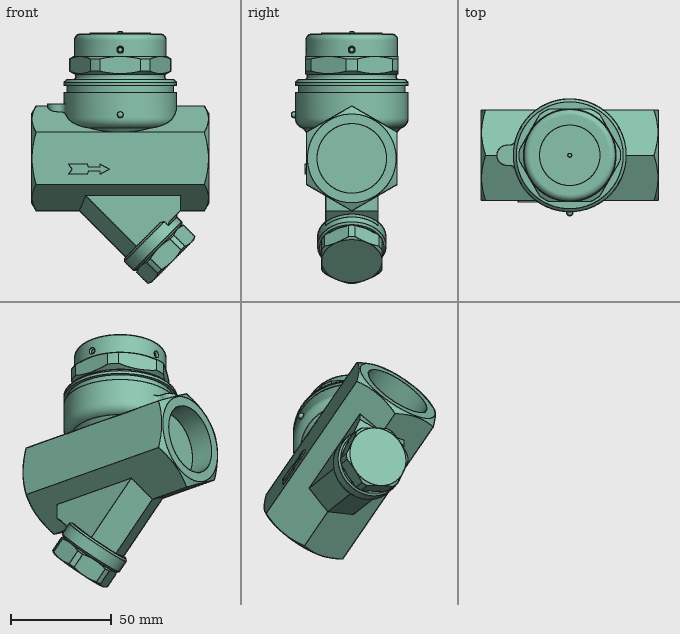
import cadquery as cq
import math

BODY_LENGTH = 88.0
BODY_FLATS = 45.0
BODY_END_DIAMETER = 44.0
SOCKET_DIAMETER = 34.5
SOCKET_DEPTH = 12.0
CHAMFER_ANGLE = math.radians(30)
BODY_CORNER_RADIUS = BODY_FLATS / math.sqrt(3)

HOUSING_DIAMETER = 56.0
HOUSING_TOP = 32.8
HOUSING_ROUNDING = 5.0
HOUSING_ROUNDING_START = 19.9
HOUSING_SKIRT_RADIUS = 24.4
HOUSING_BOTTOM_RADIUS = 22.5
HOUSING_BOTTOM = 13.0
ARC_MIDDLE_ANGLE = math.radians(45)

LUG_TOP = 27.0
LUG_BOTTOM = HOUSING_ROUNDING_START
LUG_WIDTH = 10.0
LUG_REACH = 36.1
LUG_ROOT_FILLET = 3.0

PIN_DIAMETER = 3.0
PIN_TIP_REACH = 30.0
PIN_ROUNDING = 1.3
PIN_HEIGHT = 21.6

ARROW_TAIL_X = -25.6
ARROW_HEAD_X = -10.0
ARROW_TIP_X = -5.4
ARROW_SHAFT_X = -15.8
ARROW_NOTCH = 1.8
ARROW_SHOULDER = 0.5
ARROW_HALF_WIDTH = 2.5
ARROW_SHAFT_HALF_WIDTH = 1.0
ARROW_CENTER_Z = -5.4
ARROW_RAISE = 0.8

BRANCH_AXIS_X = -25.0
BRANCH_TILT = 135
BRANCH_FLATS = 26.0
BRANCH_SHOULDER_X = 29.8
COLLAR_DIAMETER = 34.0
COLLAR_START = 54.3
COLLAR_LENGTH = 8.3
COLLAR_CHAMFER = 1.0
PLUG_FLATS = 30.0
PLUG_CORNER_DIAMETER = 33.0
PLUG_LENGTH = 9.5

CAP_SPIGOT_DIAMETER = 53.0
FLANGE_BOTTOM = 36.1
FLANGE_TOP = 39.1
FLANGE_CHAMFER = 1.5
NECK_DIAMETER = 44.3
NECK_FILLET = 1.3
NUT_BOTTOM = 41.5
NUT_TOP = 50.5
NUT_FLATS = 46.0
NUT_CORNER_DIAMETER = 50.3
CAP_DIAMETER = 45.5
CAP_TOP = 61.6
CAP_ROUNDING = 3.0
PLATE_DIAMETER = 30.0
PLATE_THICKNESS = 0.5
RIVET_DIAMETER = 2.0
RIVET_TOP = 63.0
RIVET_ROUNDING = 0.5
DIMPLE_DIAMETER = 3.5
DIMPLE_FLOOR_DIAMETER = 2.3
DIMPLE_DEPTH = 1.0
DIMPLE_HEIGHT = 53.9
DIMPLE_COUNT = 4


def hexagon_corners(flats):
    """Diameter through the corners of a hexagon with the given width across flats."""
    return flats * 2 / math.sqrt(3)


def turned(outline):
    """Solid of revolution about Z from a closed outline of (radius, height) points."""
    return cq.Workplane("XZ").polyline(outline).close().revolve(360, (0, 0), (0, 1))


def cone_rise(outer_radius, inner_radius):
    """Axial length of the 30 degree cone between two radii."""
    return (outer_radius - inner_radius) * math.tan(CHAMFER_ANGLE)


def make_body_hexagon():
    """Hexagonal bar with corners up and down, coned at both ends."""
    bar = (
        cq.Workplane("XY")
        .polygon(6, hexagon_corners(BODY_FLATS))
        .extrude(BODY_LENGTH)
    )
    end_radius = BODY_END_DIAMETER / 2
    cone = cone_rise(BODY_CORNER_RADIUS, end_radius)
    envelope = turned([
        (0, 0),
        (end_radius, 0),
        (BODY_CORNER_RADIUS, cone),
        (BODY_CORNER_RADIUS, BODY_LENGTH - cone),
        (end_radius, BODY_LENGTH),
        (0, BODY_LENGTH),
    ])
    bar = bar.intersect(envelope)
    return bar.rotate((0, 0, 0), (0, 1, 0), 90).translate((-BODY_LENGTH / 2, 0, 0))


def make_housing():
    """Round housing with a rounded lower edge that runs into a short cone."""
    radius = HOUSING_DIAMETER / 2
    arc_center = radius - HOUSING_ROUNDING
    arc_end_drop = math.sqrt(HOUSING_ROUNDING ** 2 - (HOUSING_SKIRT_RADIUS - arc_center) ** 2)
    arc_middle = (
        arc_center + HOUSING_ROUNDING * math.cos(ARC_MIDDLE_ANGLE),
        HOUSING_ROUNDING_START - HOUSING_ROUNDING * math.sin(ARC_MIDDLE_ANGLE),
    )
    return (
        cq.Workplane("XZ")
        .moveTo(0, HOUSING_TOP)
        .lineTo(radius, HOUSING_TOP)
        .lineTo(radius, HOUSING_ROUNDING_START)
        .threePointArc(arc_middle, (HOUSING_SKIRT_RADIUS, HOUSING_ROUNDING_START - arc_end_drop))
        .lineTo(HOUSING_BOTTOM_RADIUS, HOUSING_BOTTOM)
        .lineTo(0, HOUSING_BOTTOM)
        .close()
        .revolve(360, (0, 0), (0, 1))
    )


def make_lug():
    """Round-ended lug with concave fillets where it meets the housing."""
    half_width = LUG_WIDTH / 2
    housing_radius = HOUSING_DIAMETER / 2
    fillet_y = half_width + LUG_ROOT_FILLET
    fillet_x = -math.sqrt((housing_radius + LUG_ROOT_FILLET) ** 2 - fillet_y ** 2)
    toward_housing = housing_radius / (housing_radius + LUG_ROOT_FILLET)
    touch = (fillet_x * toward_housing, fillet_y * toward_housing)
    start_angle = math.radians(-90)
    end_angle = math.atan2(touch[1] - fillet_y, touch[0] - fillet_x)
    middle_angle = (start_angle + end_angle) / 2
    middle = (
        fillet_x + LUG_ROOT_FILLET * math.cos(middle_angle),
        fillet_y + LUG_ROOT_FILLET * math.sin(middle_angle),
    )
    round_end_x = half_width - LUG_REACH
    return (
        cq.Workplane("XY")
        .workplane(offset=LUG_BOTTOM)
        .moveTo(0, touch[1])
        .lineTo(*touch)
        .threePointArc(middle, (fillet_x, half_width))
        .lineTo(round_end_x, half_width)
        .threePointArc((-LUG_REACH, 0), (round_end_x, -half_width))
        .lineTo(fillet_x, -half_width)
        .threePointArc((middle[0], -middle[1]), (touch[0], -touch[1]))
        .lineTo(0, -touch[1])
        .close()
        .extrude(LUG_TOP - LUG_BOTTOM)
    )


def make_pin():
    """Round-headed pin pointing toward -Y."""
    pin = (
        cq.Workplane("XZ")
        .circle(PIN_DIAMETER / 2)
        .extrude(PIN_TIP_REACH)
        .faces("<Y")
        .edges()
        .fillet(PIN_ROUNDING)
    )
    return pin.translate((0, 0, PIN_HEIGHT))


def make_arrow():
    """Raised flow arrow pointing toward +X."""
    upper_edge = [
        (ARROW_TAIL_X + ARROW_NOTCH, 0),
        (ARROW_TAIL_X, ARROW_HALF_WIDTH),
        (ARROW_SHAFT_X - ARROW_SHOULDER, ARROW_HALF_WIDTH),
        (ARROW_SHAFT_X, ARROW_SHAFT_HALF_WIDTH),
        (ARROW_HEAD_X, ARROW_SHAFT_HALF_WIDTH),
        (ARROW_HEAD_X, ARROW_HALF_WIDTH),
        (ARROW_TIP_X, 0),
    ]
    lower_edge = [(x, -z) for x, z in reversed(upper_edge[1:-1])]
    arrow = cq.Workplane("XZ").polyline(upper_edge + lower_edge).close().extrude(BODY_FLATS / 2 + ARROW_RAISE)
    return arrow.translate((0, 0, ARROW_CENTER_Z))


def along_branch(solid):
    """Tilt a solid built along Z onto the branch axis; its +X side becomes the lower left side."""
    return solid.rotate((0, 0, 0), (0, 1, 0), BRANCH_TILT).translate((BRANCH_AXIS_X, 0, 0))


def make_branch():
    """Ridged arm filled up to a vertical shoulder, with its end square to the branch axis."""
    half_width = BRANCH_FLATS / 2
    ridge = hexagon_corners(BRANCH_FLATS) / 2
    end = (BRANCH_SHOULDER_X - BRANCH_AXIS_X + BODY_CORNER_RADIUS) / math.sqrt(2)
    arm = (
        cq.Workplane("XY")
        .polyline([
            (ridge, 0),
            (ridge / 2, half_width),
            (-BODY_LENGTH, half_width),
            (-BODY_LENGTH, -half_width),
            (ridge / 2, -half_width),
        ])
        .close()
        .extrude(end)
    )
    collar_radius = COLLAR_DIAMETER / 2
    flare = turned([
        (0, end),
        (collar_radius + COLLAR_CHAMFER, end),
        (collar_radius, end + COLLAR_CHAMFER),
        (0, end + COLLAR_CHAMFER),
    ])
    shoulder_side = (
        cq.Workplane("XY")
        .box(BODY_LENGTH, BRANCH_FLATS, 2 * BODY_LENGTH)
        .translate((-BODY_LENGTH / 2, 0, 0))
    )
    tilted = along_branch(arm.union(flare.intersect(shoulder_side)))
    below_axis_and_shoulder = (
        cq.Workplane("XY")
        .box(BODY_LENGTH, BODY_LENGTH, BODY_LENGTH)
        .translate((BRANCH_SHOULDER_X - BODY_LENGTH / 2, 0, -BODY_LENGTH / 2))
    )
    return tilted.intersect(below_axis_and_shoulder)


def make_nut(flats, corner_diameter, bottom, top, bottom_cone_radius, top_cone_radius):
    """Hexagon with corners on X, corners rounded off and both ends coned at 30 degrees."""
    corner = corner_diameter / 2
    blank = (
        cq.Workplane("XY")
        .workplane(offset=bottom)
        .polygon(6, hexagon_corners(flats))
        .extrude(top - bottom)
    )
    envelope = turned([
        (0, bottom),
        (bottom_cone_radius, bottom),
        (corner, bottom + cone_rise(corner, bottom_cone_radius)),
        (corner, top - cone_rise(corner, top_cone_radius)),
        (top_cone_radius, top),
        (0, top),
    ])
    return blank.intersect(envelope)


def make_plug():
    """Chamfered collar and hexagon closing the end of the branch."""
    collar_end = COLLAR_START + COLLAR_LENGTH
    collar = (
        cq.Workplane("XY")
        .workplane(offset=COLLAR_START)
        .circle(COLLAR_DIAMETER / 2)
        .extrude(COLLAR_LENGTH)
        .edges()
        .chamfer(COLLAR_CHAMFER)
    )
    nut = make_nut(
        PLUG_FLATS, PLUG_CORNER_DIAMETER, collar_end, collar_end + PLUG_LENGTH, PLUG_FLATS / 2, PLUG_FLATS / 2
    )
    return along_branch(collar.union(nut))


def cut_sockets(body):
    """Cut a blind round socket into each end of the pipe body."""
    for start in (-BODY_LENGTH / 2, BODY_LENGTH / 2 - SOCKET_DEPTH):
        socket = cq.Workplane("YZ").workplane(offset=start).circle(SOCKET_DIAMETER / 2).extrude(SOCKET_DEPTH)
        body = body.cut(socket)
    return body


def make_valve_body():
    """Pipe body, housing, lug, pin, arrow, branch and plug as one solid."""
    body = (
        make_body_hexagon()
        .union(make_housing())
        .union(make_lug())
        .union(make_pin())
        .union(make_arrow())
        .union(make_branch())
        .union(make_plug())
    )
    return cut_sockets(body)


def make_cap():
    """Cap with spigot, chamfered flange, filleted neck, hexagon, rounded crown, plate and rivet."""
    flange_radius = HOUSING_DIAMETER / 2
    spigot_radius = CAP_SPIGOT_DIAMETER / 2
    neck_radius = NECK_DIAMETER / 2
    fillet_inset = NECK_FILLET * (1 - math.sqrt(0.5))
    lower = (
        cq.Workplane("XZ")
        .moveTo(0, HOUSING_TOP)
        .lineTo(spigot_radius, HOUSING_TOP)
        .lineTo(spigot_radius, FLANGE_BOTTOM)
        .lineTo(flange_radius, FLANGE_BOTTOM)
        .lineTo(flange_radius, FLANGE_TOP - FLANGE_CHAMFER)
        .lineTo(flange_radius - FLANGE_CHAMFER, FLANGE_TOP)
        .lineTo(neck_radius + NECK_FILLET, FLANGE_TOP)
        .threePointArc(
            (neck_radius + fillet_inset, FLANGE_TOP + fillet_inset),
            (neck_radius, FLANGE_TOP + NECK_FILLET),
        )
        .lineTo(neck_radius, NUT_BOTTOM)
        .lineTo(0, NUT_BOTTOM)
        .close()
        .revolve(360, (0, 0), (0, 1))
    )
    nut = make_nut(NUT_FLATS, NUT_CORNER_DIAMETER, NUT_BOTTOM, NUT_TOP, neck_radius, NUT_FLATS / 2)
    crown = (
        cq.Workplane("XY")
        .workplane(offset=NUT_TOP)
        .circle(CAP_DIAMETER / 2)
        .extrude(CAP_TOP - NUT_TOP)
        .faces(">Z")
        .edges()
        .fillet(CAP_ROUNDING)
    )
    plate = cq.Workplane("XY").workplane(offset=CAP_TOP).circle(PLATE_DIAMETER / 2).extrude(PLATE_THICKNESS)
    rivet = (
        cq.Workplane("XY")
        .workplane(offset=CAP_TOP)
        .circle(RIVET_DIAMETER / 2)
        .extrude(RIVET_TOP - CAP_TOP)
        .faces(">Z")
        .edges()
        .fillet(RIVET_ROUNDING)
    )
    cap = lower.union(nut).union(crown).union(plate).union(rivet)
    return cut_dimples(cap)


def cut_dimples(cap):
    """Cut tapered dimples evenly spaced around the crown."""
    crown_radius = CAP_DIAMETER / 2
    dimple = (
        turned([
            (0, crown_radius - DIMPLE_DEPTH),
            (DIMPLE_FLOOR_DIAMETER / 2, crown_radius - DIMPLE_DEPTH),
            (DIMPLE_DIAMETER / 2, crown_radius),
            (0, crown_radius),
        ])
        .rotate((0, 0, 0), (0, 1, 0), 90)
        .translate((0, 0, DIMPLE_HEIGHT))
    )
    for index in range(DIMPLE_COUNT):
        cap = cap.cut(dimple.rotate((0, 0, 0), (0, 0, 1), index * 360 / DIMPLE_COUNT))
    return cap


valve_body = make_valve_body()
cap = make_cap()
result = cq.Compound.makeCompound([valve_body.val(), cap.val()])